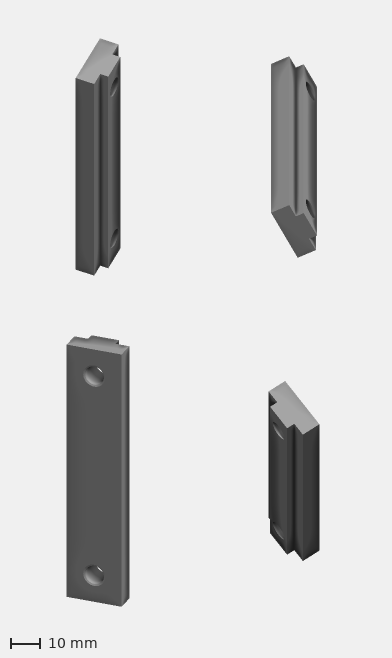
import cadquery as cq

length = 95.0
width = 20.0
depth = 9.8

flange_thickness = 6.8
tongue_width = 10.0

hole_diameter = 6.8
countersink_diameter = 8.0
countersink_depth = 0.33
hole_end_distance = 10.0
hole_offset = length / 2 - hole_end_distance


def make_bar():
    """T-section bar: flange from X = 0, with the tongue centred behind it."""
    flange = cq.Workplane("XY").box(flange_thickness, width, length, centered=(False, True, True))
    tongue = cq.Workplane("XY").box(depth, tongue_width, length, centered=(False, True, True))
    return flange.union(tongue)


def make_hole_cutter(z):
    """Revolved cutter along X: a through bore with a shallow conical mouth at X = 0."""
    bore_radius = hole_diameter / 2
    profile = (
        cq.Workplane("XY")
        .moveTo(0, 0)
        .lineTo(0, countersink_diameter / 2)
        .lineTo(countersink_depth, bore_radius)
        .lineTo(depth, bore_radius)
        .lineTo(depth, 0)
        .close()
    )
    return profile.revolve(360, (0, 0, 0), (1, 0, 0)).translate((0, 0, z))


result = make_bar()
for hole_z in (-hole_offset, hole_offset):
    result = result.cut(make_hole_cutter(hole_z))